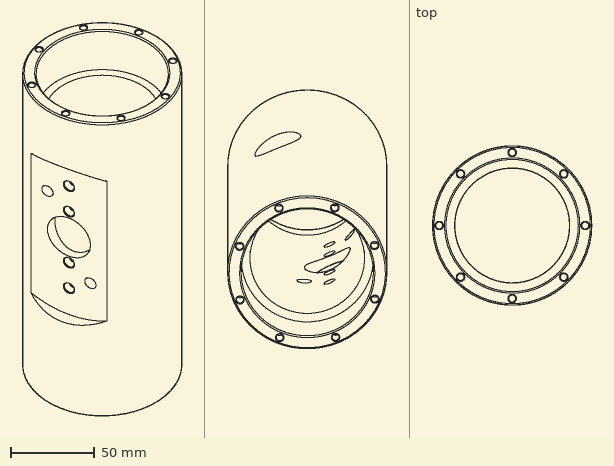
import cadquery as cq
import math

length = 230.0
outer_diameter = 96.0
outer_radius = outer_diameter / 2
bore_radius = 34.5
seat_radius = 39.8
seat_depth = 30.8
rim_chamfer = 1.0
seat_chamfer = 1.0

pad_height = 130.0
pad_offset = 40.0
pad_radius = 60.7
port_radius = 15.0

screw_pitch = 20.0
screw_steps = (-2, -1, 1, 2)
screw_radius = 3.5
screw_mouth_radius = 4.0
pin_radius = 4.0
pin_x = 15.0
pin_z = 2 * pin_x

rim_hole_count = 8
rim_circle_radius = 44.0
rim_hole_radius = 2.0
rim_hole_mouth_radius = 2.5
rim_hole_depth = 11.5
drill_point_angle = 118


def drill(radius, depth, mouth_radius, start, direction):
    """Cutter for a round hole with a 45 degree countersink at its mouth."""
    shank = cq.Solid.makeCylinder(radius, depth, start, direction)
    sink = cq.Solid.makeCone(mouth_radius, radius, mouth_radius - radius, start, direction)
    return shank.fuse(sink)


def make_tube():
    """Chamfered tube with a wider bearing seat at each end of the bore."""
    tube = cq.Workplane("XY").circle(outer_radius).extrude(length)
    tube = tube.faces("<Z or >Z").edges().chamfer(rim_chamfer)
    bore = cq.Workplane("XY").circle(bore_radius).extrude(length)
    seat = cq.Workplane("XY").circle(seat_radius).extrude(seat_depth)
    seat_mouth = cq.Workplane(
        cq.Solid.makeCone(seat_radius + seat_chamfer, seat_radius, seat_chamfer)
    )
    bottom_seat = seat.union(seat_mouth)
    top_seat = bottom_seat.mirror("XY").translate((0, 0, length))
    return tube.cut(bore).cut(bottom_seat).cut(top_seat)


def cut_pad(body):
    """Flat with round ends, and the cross port through both walls."""
    pad_plane = cq.Workplane("XZ", origin=(0, -pad_offset, pad_height))
    pad_cutter = pad_plane.circle(pad_radius).extrude(outer_radius)
    port_plane = cq.Workplane("XZ", origin=(0, 0, pad_height))
    port_cutter = port_plane.circle(port_radius).extrude(outer_radius, both=True)
    return body.cut(pad_cutter).cut(port_cutter)


def cut_pad_holes(body):
    """Four countersunk screw holes on the centre line and two diagonal pin holes."""
    inward = cq.Vector(0, 1, 0)
    for step in screw_steps:
        start = cq.Vector(0, -pad_offset, pad_height + step * screw_pitch)
        hole = drill(screw_radius, pad_offset, screw_mouth_radius, start, inward)
        body = body.cut(cq.Workplane(hole))
    for side in (-1, 1):
        start = cq.Vector(side * pin_x, -pad_offset, pad_height - side * pin_z)
        pin_hole = cq.Solid.makeCylinder(pin_radius, pad_offset, start, inward)
        body = body.cut(cq.Workplane(pin_hole))
    return body


def cut_rim_holes(body):
    """Ring of countersunk blind holes with conical drill points in the top and bottom rims."""
    tip_length = rim_hole_radius / math.tan(math.radians(drill_point_angle / 2))
    for rim_z, inward_z in ((0, 1), (length, -1)):
        start = cq.Vector(rim_circle_radius, 0, rim_z)
        inward = cq.Vector(0, 0, inward_z)
        hole = drill(rim_hole_radius, rim_hole_depth, rim_hole_mouth_radius, start, inward)
        tip_start = start + inward * rim_hole_depth
        hole = hole.fuse(cq.Solid.makeCone(rim_hole_radius, 0, tip_length, tip_start, inward))
        for index in range(rim_hole_count):
            angle = index * 360 / rim_hole_count
            body = body.cut(cq.Workplane(hole.rotate((0, 0, 0), (0, 0, 1), angle)))
    return body


result = cut_rim_holes(cut_pad_holes(cut_pad(make_tube())))